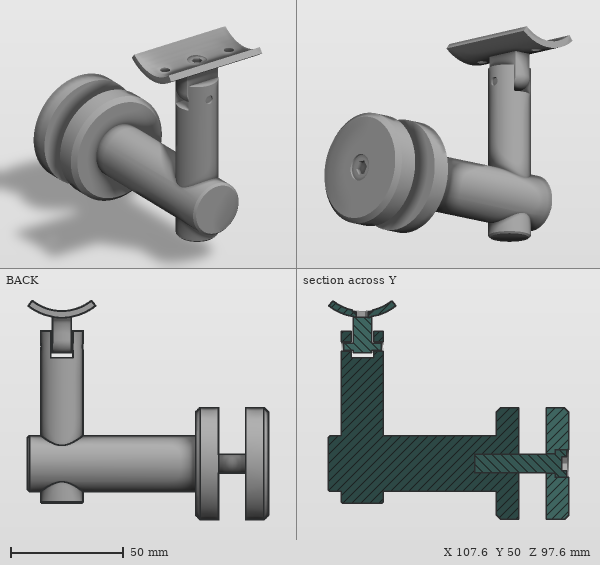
import cadquery as cq
import math

disc_diameter = 50.0
disc_thickness = 10.3
disc_edge_chamfer = 2.1
glass_gap = 12.0
overall_length = 107.6

tube_diameter = 25.0
tube_end_chamfer = 1.0

clamp_head_diameter = 12.0
clamp_head_length = 5.0
clamp_head_recess = 1.0
clamp_shank_diameter = 8.5
clamp_thread_depth = 20.0
clamp_hex_flats = 6.0
clamp_hex_depth = 2.3

post_x = 92.2
post_diameter = 19.0
post_bottom_z = -17.8
post_bottom_chamfer = 0.8
post_top_z = 59.2
slot_width = 9.8
slot_floor_z = 47.2

pin_z = 52.1
pin_hole_diameter = 4.0
pin_diameter = 3.5
pin_length = 17.0

swivel_thickness = 8.5
swivel_bottom_z = 49.3
swivel_bottom_radius = 5.5

saddle_inner_radius = 21.2
saddle_thickness = 3.0
saddle_width = 30.1
saddle_length = 50.0
saddle_top_z = 72.63
rail_hole_diameter = 4.5
rail_hole_spacing = 35.0

stud_head_diameter = 8.84
stud_head_recess = 0.2
stud_shank_diameter = 5.5
stud_hex_flats = 4.4
stud_hex_depth = 2.5

back_disc_x = disc_thickness + glass_gap
tube_start_x = back_disc_x + disc_thickness
saddle_outer_radius = saddle_inner_radius + saddle_thickness
saddle_half_angle = math.asin(saddle_width / 2 / saddle_outer_radius)
saddle_axis_z = saddle_top_z + saddle_inner_radius * math.cos(saddle_half_angle)
saddle_floor_z = saddle_axis_z - saddle_inner_radius
stud_head_z = saddle_floor_z - stud_head_recess
stud_cone_height = (stud_head_diameter - stud_shank_diameter) / 2


def x_cylinder(diameter, start_x, end_x):
    """Cylinder on the tube axis."""
    return cq.Workplane("YZ", origin=(start_x, 0, 0)).circle(diameter / 2).extrude(end_x - start_x)


def z_cylinder(diameter, bottom_z, top_z):
    """Cylinder on the post axis."""
    return cq.Workplane("XY", origin=(post_x, 0, bottom_z)).circle(diameter / 2).extrude(top_z - bottom_z)


def cross_pin(diameter, length):
    """Cylinder along X, centred on the swivel joint."""
    start = cq.Workplane("YZ", origin=(post_x - length / 2, 0, pin_z))
    return start.circle(diameter / 2).extrude(length)


def saddle_axis_cylinder(radius):
    """Cylinder along Y on the handrail axis, as long as the saddle."""
    plane = cq.Workplane("XZ", origin=(post_x, saddle_length / 2, saddle_axis_z))
    return plane.circle(radius).extrude(saddle_length)


def hex_corners(flats):
    """Diameter across the corners of a hexagon."""
    return flats / math.cos(math.pi / 6)


def make_clamp_screw():
    head_end_x = clamp_head_recess + clamp_head_length
    head = x_cylinder(clamp_head_diameter, clamp_head_recess, head_end_x)
    shank = x_cylinder(clamp_shank_diameter, head_end_x, back_disc_x + clamp_thread_depth)
    socket = (
        cq.Workplane("YZ", origin=(clamp_head_recess, 0, 0))
        .polygon(6, hex_corners(clamp_hex_flats))
        .extrude(clamp_hex_depth)
    )
    return head.union(shank).cut(socket)


def make_front_disc():
    disc = x_cylinder(disc_diameter, 0, disc_thickness).faces("<X").chamfer(disc_edge_chamfer)
    head_hole = x_cylinder(clamp_head_diameter, 0, clamp_head_recess + clamp_head_length)
    return disc.cut(head_hole).cut(x_cylinder(clamp_shank_diameter, 0, disc_thickness))


def make_bracket():
    """Back disc, tube and forked post in one piece."""
    disc = x_cylinder(disc_diameter, back_disc_x, tube_start_x).faces(">X").chamfer(disc_edge_chamfer)
    tube = x_cylinder(tube_diameter, tube_start_x, overall_length).faces(">X").chamfer(tube_end_chamfer)
    post = z_cylinder(post_diameter, post_bottom_z, post_top_z).faces("<Z").chamfer(post_bottom_chamfer)
    slot_height = post_top_z - slot_floor_z
    slot = cq.Workplane("XY", origin=(post_x, 0, slot_floor_z)).box(
        slot_width, post_diameter, slot_height, centered=(True, True, False)
    )
    post = post.cut(slot).cut(cross_pin(pin_hole_diameter, post_diameter))
    thread_hole = x_cylinder(clamp_shank_diameter, back_disc_x, back_disc_x + clamp_thread_depth)
    return disc.union(tube).union(post).cut(thread_hole)


def make_saddle():
    """Curved handrail plate with radial ends, a countersunk centre hole and two rail holes."""
    wedge_reach = 2 * saddle_outer_radius
    wedge_half_width = wedge_reach * math.tan(saddle_half_angle)
    wedge = (
        cq.Workplane("XZ", origin=(post_x, saddle_length / 2, saddle_axis_z))
        .polyline([(0, 0), (-wedge_half_width, -wedge_reach), (wedge_half_width, -wedge_reach)])
        .close()
        .extrude(saddle_length)
    )
    shell = saddle_axis_cylinder(saddle_outer_radius).cut(saddle_axis_cylinder(saddle_inner_radius))
    plate = shell.intersect(wedge)
    for side in (-1, 1):
        hole = z_cylinder(rail_hole_diameter, swivel_bottom_z, saddle_top_z)
        plate = plate.cut(hole.translate((0, side * rail_hole_spacing / 2, 0)))
    head_room = z_cylinder(stud_head_diameter, stud_head_z, saddle_top_z)
    return plate.cut(head_room).cut(make_stud())


def make_stud():
    """Countersunk stud that holds the saddle, its head just below the saddle floor."""
    shank = z_cylinder(stud_shank_diameter, pin_z, stud_head_z)
    cone = (
        cq.Workplane("XY", origin=(post_x, 0, stud_head_z - stud_cone_height))
        .circle(stud_shank_diameter / 2)
        .workplane(offset=stud_cone_height)
        .circle(stud_head_diameter / 2)
        .loft()
    )
    return shank.union(cone)


def make_swivel():
    """Flat-sided knuckle under the saddle, with its cross pin and saddle stud."""
    blank = z_cylinder(post_diameter, swivel_bottom_z, saddle_floor_z)
    blank = blank.faces("<Z").edges().fillet(swivel_bottom_radius)
    flats = cq.Workplane("XY", origin=(post_x, 0, swivel_bottom_z)).box(
        swivel_thickness, post_diameter, saddle_floor_z - swivel_bottom_z, centered=(True, True, False)
    )
    knuckle = blank.intersect(flats)
    knuckle = knuckle.cut(saddle_axis_cylinder(saddle_outer_radius))
    socket = (
        cq.Workplane("XY", origin=(post_x, 0, stud_head_z))
        .polygon(6, hex_corners(stud_hex_flats))
        .extrude(-stud_hex_depth)
    )
    stud = make_stud().cut(socket)
    return knuckle.union(stud).union(cross_pin(pin_diameter, pin_length))


front_disc = make_front_disc()
clamp_screw = make_clamp_screw()
bracket = make_bracket()
swivel = make_swivel()
saddle = make_saddle()

result = cq.Compound.makeCompound(
    [front_disc.val(), clamp_screw.val(), bracket.val(), swivel.val(), saddle.val()]
)